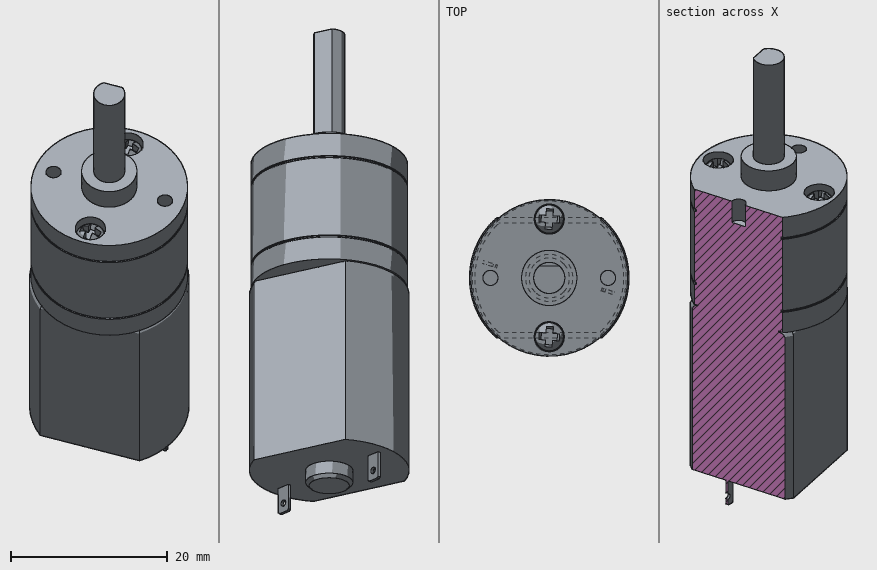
import cadquery as cq


motor_diameter = 20.4
motor_flats = 15.4
motor_height = 25.1
motor_edge_radius = 0.7

boss_diameter = 6.05
boss_length = 2.1
boss_chamfer = 0.45

tab_width = 1.85
tab_thickness = 0.4
tab_length = 3.6
tab_corner = 0.2
tab_hole_diameter = 0.85
tab_hole_depth = 2.3
tab_radius = 7.8
tab_angle = -13
tab_turn = -4

gearbox_diameter = 20.0
base_plate_height = 3.2
gear_case_height = 11.05
front_plate_height = 3.2
groove_width = 0.25
groove_depth = 0.2

bushing_diameter = 7.05
bushing_height = 3.0
shaft_diameter = 4.0
shaft_across_flat = 3.5
flat_start = 0.65

pitch_radius = 7.5
mount_hole_diameter = 1.9
mount_hole_depth = front_plate_height
screw_hole_diameter = 3.85
screw_hole_depth = 2.0
screw_head_diameter = 3.6
screw_head_height = 1.85
screw_rim_height = 0.8
cross_length = 2.95
cross_floor_length = 2.05
cross_width = 0.9
cross_core = 1.2
cross_depth = 1.35
cross_angle = -4

total_height = 64.2
shaft_top = total_height - tab_length
case_bottom = motor_height + base_plate_height
case_top = case_bottom + gear_case_height
plate_top = case_top + front_plate_height
bushing_top = plate_top + bushing_height


def cylinder(diameter, bottom, top, x=0, y=0):
    return cq.Workplane("XY", origin=(x, y, bottom)).circle(diameter / 2).extrude(top - bottom)


def make_motor():
    can = cylinder(motor_diameter, 0, motor_height)
    flats = cq.Workplane("XY").box(
        motor_diameter, motor_flats, motor_height, centered=(True, True, False))
    can = can.intersect(flats)
    can = can.faces(">Z").edges().fillet(motor_edge_radius)
    boss = cylinder(boss_diameter, -boss_length, 0).faces("<Z").chamfer(boss_chamfer)
    return can.union(boss)


def make_tab():
    tab = cq.Workplane("XY", origin=(0, 0, -tab_length)).box(
        tab_width, tab_thickness, tab_length, centered=(True, True, False))
    tab = tab.faces("<Z").edges("|Y").chamfer(tab_corner)
    hole = cq.Workplane("XZ", origin=(0, 0, -tab_hole_depth)).circle(
        tab_hole_diameter / 2).extrude(tab_thickness, both=True)
    return tab.cut(hole).rotate((0, 0, 0), (0, 0, 1), tab_turn).translate((tab_radius, 0, 0))


def make_gearbox():
    gearbox = cylinder(gearbox_diameter, motor_height, plate_top)
    for level in (case_bottom, case_top):
        bottom = level - groove_width / 2
        top = level + groove_width / 2
        core = cylinder(gearbox_diameter - 2 * groove_depth, bottom, top)
        gearbox = gearbox.cut(cylinder(gearbox_diameter, bottom, top).cut(core))
    return gearbox.union(cylinder(bushing_diameter, plate_top, bushing_top))


def make_shaft():
    shaft = cylinder(shaft_diameter, bushing_top, shaft_top)
    flat_y = shaft_across_flat - shaft_diameter / 2
    beyond_flat = cq.Workplane("XY", origin=(0, flat_y, bushing_top + flat_start)).box(
        shaft_diameter, shaft_diameter, shaft_top, centered=(True, False, False))
    return shaft.cut(beyond_flat)


def make_cross_recess():
    """Two crossed arms with sloping ends and a square core, sunk below Z = 0."""
    arm = (
        cq.Workplane("XZ")
        .moveTo(-cross_length / 2, 0)
        .lineTo(cross_length / 2, 0)
        .lineTo(cross_floor_length / 2, -cross_depth)
        .lineTo(-cross_floor_length / 2, -cross_depth)
        .close()
        .extrude(cross_width / 2, both=True)
    )
    core = cq.Workplane("XY").rect(cross_core, cross_core).extrude(-cross_depth)
    core = core.rotate((0, 0, 0), (0, 0, 1), 45)
    return arm.union(arm.rotate((0, 0, 0), (0, 0, 1), 90)).union(core)


def make_screw(y):
    """Domed screw head with a cross recess, resting on the floor of its hole."""
    floor = plate_top - screw_hole_depth
    top = floor + screw_head_height
    radius = screw_head_diameter / 2
    dome_height = screw_head_height - screw_rim_height
    dome_radius = (radius ** 2 + dome_height ** 2) / (2 * dome_height)
    dome = cq.Workplane("XY", origin=(0, y, top - dome_radius)).sphere(dome_radius)
    head = cylinder(screw_head_diameter, floor, top, y=y).intersect(dome)
    recess = make_cross_recess().rotate((0, 0, 0), (0, 0, 1), cross_angle)
    return head.cut(recess.translate((0, y, top)))


result = make_motor().union(make_gearbox()).union(make_shaft())

for offset in (-pitch_radius, pitch_radius):
    mount_hole = cylinder(mount_hole_diameter, plate_top - mount_hole_depth, plate_top, x=offset)
    screw_hole = cylinder(screw_hole_diameter, plate_top - screw_hole_depth, plate_top, y=offset)
    result = result.cut(mount_hole).cut(screw_hole).union(make_screw(offset))

for angle in (tab_angle, tab_angle + 180):
    result = result.union(make_tab().rotate((0, 0, 0), (0, 0, 1), angle))